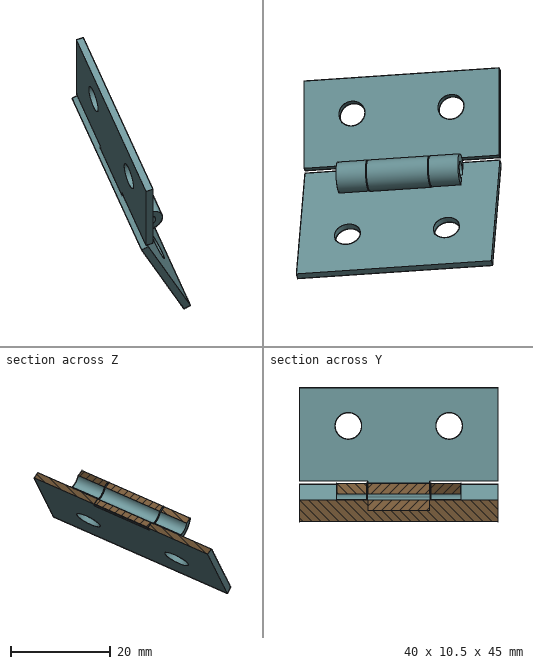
import cadquery as cq

leaf_width = 40.0
sheet = 1.53
knuckle_radius = 3.2
eye_radius = knuckle_radius - sheet
hole_diameter = 5.3
hole_spacing = 20.3

knuckle_row = 25.0
middle_length = 12.5
knuckle_gap = 0.2
end_length = (knuckle_row - middle_length) / 2 - knuckle_gap
end_offset = (knuckle_row - end_length) / 2

upper_top = 22.0
upper_hole_height = 14.3
upper_curl_gap = 0.1

swing = 20.0
lower_overrun = 3.33
lower_reach = 23.31
lower_hole_reach = 13.67
lower_curl_gap = 0.35

sheet_outside = -knuckle_radius
sheet_inside = -eye_radius


def block(x_length, y_low, y_high, z_low, z_high):
    """Block centred on X, between two Y values and two Z values."""
    return (
        cq.Workplane("XY")
        .box(x_length, y_high - y_low, z_high - z_low)
        .translate((0, (y_low + y_high) / 2, (z_low + z_high) / 2))
    )


def sheet_piece(x_length, z_low, z_high):
    """Flat piece of leaf sheet."""
    return block(x_length, sheet_outside, sheet_inside, z_low, z_high)


def screw_holes(z):
    """Pair of cutters for the screw holes of a flat leaf."""
    return (
        cq.Workplane("XZ", origin=(0, sheet_inside, z))
        .pushPoints([(-hole_spacing / 2, 0), (hole_spacing / 2, 0)])
        .circle(hole_diameter / 2)
        .extrude(sheet)
    )


def curl(length, gap):
    """Knuckle ring about the pin axis, slit above the axis beside the sheet of a leaf that rises from it."""
    ring = cq.Workplane("YZ").circle(knuckle_radius).circle(eye_radius).extrude(length / 2, both=True)
    return ring.cut(block(length, sheet_inside, sheet_inside + gap, 0, knuckle_radius))


def upper_leaf():
    """Upright leaf whose middle tab runs down into the middle knuckle."""
    plate = sheet_piece(leaf_width, knuckle_radius, upper_top)
    tab = sheet_piece(middle_length, 0, knuckle_radius)
    leaf = plate.union(tab).union(curl(middle_length, upper_curl_gap))
    return leaf.cut(screw_holes(upper_hole_height))


def swung(body):
    """Swing a hanging body about the pin axis into the pose of the lower leaf."""
    return body.rotate((0, 0, 0), (1, 0, 0), swing)


def lower_plate():
    """Hanging flat leaf that reaches past the pin axis, before it is swung."""
    return sheet_piece(leaf_width, -lower_reach, lower_overrun).cut(screw_holes(-lower_hole_reach))


def end_knuckle(side):
    """End knuckle that sits against the inner face of the lower leaf; side is -1 or +1 along X."""
    hanging_curl = curl(end_length, lower_curl_gap).mirror("XY")
    trimmed = hanging_curl.cut(sheet_piece(end_length, -knuckle_radius, knuckle_radius))
    return swung(trimmed).translate((side * end_offset, 0, 0))


upper = upper_leaf()
lower = swung(lower_plate()).cut(upper)
end_knuckles = [end_knuckle(side) for side in (-1, 1)]

result = cq.Compound.makeCompound(
    [
        upper.solids().val(),
        lower.solids().val(),
        *[knuckle.solids().val() for knuckle in end_knuckles],
    ]
)